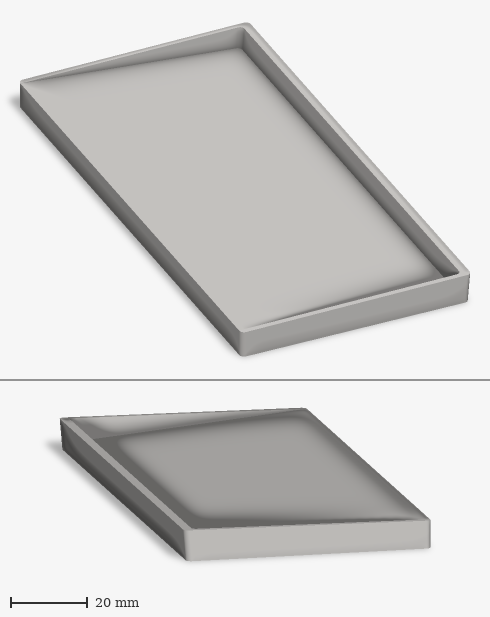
import cadquery as cq
import math

length = 137.8
width = 66.3
height = 8.3

front_height = 7.5
tilt = math.radians(5)
rim_depth = 2.5
corner_radius = 1.4

side_wall = 1.5
pocket_radius = 1.2

front_y = -width / 2
back_y = width / 2
peak_y = back_y - rim_depth
back_foot_y = back_y - height * math.tan(tilt)


def side_profile(points, span):
    """Extrude a closed YZ outline symmetrically along X."""
    return cq.Workplane("YZ").polyline(points).close().extrude(span / 2, both=True)


def make_body():
    """Slab with a leaning back, a level back rim and a top falling gently to the front."""
    outline = [
        (front_y, 0),
        (back_foot_y, 0),
        (back_y, height),
        (peak_y, height),
        (front_y, front_height),
    ]
    body = side_profile(outline, length)
    front_corners = body.faces("<Y").edges("#X")
    back_corners = body.faces(">Y").edges("#X")
    return front_corners.add(back_corners).fillet(corner_radius)


def make_pocket():
    """Tilted pocket whose floor falls from the front top edge to the square back wall."""
    floor_run = (peak_y - front_y) * math.cos(tilt) - (height - front_height) * math.sin(tilt)
    inner_foot_y = front_y + floor_run * math.cos(tilt)
    inner_foot_z = front_height - floor_run * math.sin(tilt)
    above = height
    outline = [
        (front_y, front_height),
        (inner_foot_y, inner_foot_z),
        (peak_y + above * math.tan(tilt), height + above),
        (front_y, height + above),
    ]
    pocket = side_profile(outline, length - 2 * side_wall)
    return pocket.faces(">Y").edges("#X").fillet(pocket_radius)


result = make_body().cut(make_pocket())